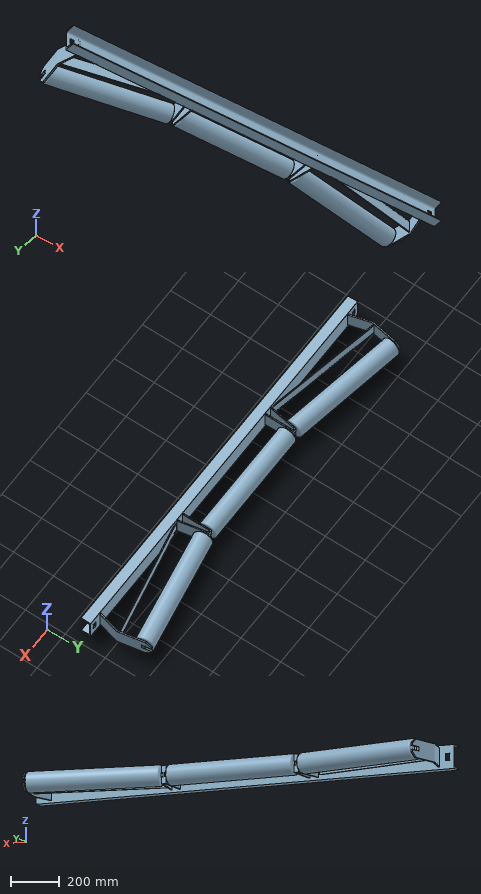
import cadquery as cq
import math

BEAM_LENGTH = 1900.0
BEAM_HEIGHT = 100.0
FLANGE_WIDTH = 50.0
WEB_THICKNESS = 5.0
FLANGE_ROOT_THICKNESS = 10.0
FLANGE_TIP_THICKNESS = 5.0
ROOT_RADIUS = 10.0
TIP_RADIUS = 4.0
MOUNT_HOLE_WIDTH = 17.0
MOUNT_HOLE_HEIGHT = 28.0
MOUNT_HOLE_INSET = 28.0

ROLLER_LENGTH = 570.0
ROLLER_DIAMETER = 90.0
ROLLER_RIM_RADIUS = 5.0
TROUGH_ANGLE = 10.0
CENTER_ROLLER_Y = 115.0
SIDE_ROLLER_X = 600.0
SIDE_ROLLER_Y = 171.0
SHAFT_SIZE = 17.0

PLATE_WIDTH = 78.0
PLATE_REACH = 11.0
INNER_THICKNESS = 5.0
INNER_TOP_Y = 140.0
OUTER_THICKNESS = 8.0
OUTER_TIP_RISE = 38.0
OUTER_CHAMFER_DROP = 27.0
OUTER_CHAMFER_WIDTH = 20.0
OUTER_FOOT_X = 885.0
BEND_Y = 105.0
BEND_RADIUS = 19.0

BRACE_WIDTH = 57.0
BRACE_THICKNESS = 4.8
BRACE_FOOT_X = 340.0
BRACE_TOP_Y = 108.0

AXIS_COS = math.cos(math.radians(TROUGH_ANGLE))
AXIS_SIN = math.sin(math.radians(TROUGH_ANGLE))
PLATE_FAR = ROLLER_LENGTH / 2 + PLATE_REACH
INNER_NEAR = PLATE_FAR - INNER_THICKNESS
OUTER_NEAR = PLATE_FAR - OUTER_THICKNESS


def side_point(along, across):
    """XY point of the +X side roller frame: along its axis (outward) and across it (toward +Y)."""
    return (
        SIDE_ROLLER_X + along * AXIS_COS - across * AXIS_SIN,
        SIDE_ROLLER_Y + along * AXIS_SIN + across * AXIS_COS,
    )


def across_at(along, y):
    """Across coordinate where the line at a given axial station reaches the height y."""
    return (y - SIDE_ROLLER_Y - along * AXIS_SIN) / AXIS_COS


def plate_point(along, y):
    """XY point at height y on a plate face lying square to the side roller axis."""
    return side_point(along, across_at(along, y))


def place_on_side_axis(shape):
    """Move a body modelled along X at the origin onto the +X side roller axis."""
    turned = shape.rotate((0, 0, 0), (0, 0, 1), TROUGH_ANGLE)
    return turned.translate((SIDE_ROLLER_X, SIDE_ROLLER_Y, 0))


def extrude_centered(points, width):
    """Prism of an XY outline, centred on Z = 0."""
    return cq.Workplane("XY").workplane(offset=-width / 2).polyline(points).close().extrude(width)


def make_beam():
    half = BEAM_HEIGHT / 2
    root = (-WEB_THICKNESS, half - FLANGE_ROOT_THICKNESS)
    tip = (-FLANGE_WIDTH, half - FLANGE_TIP_THICKNESS)
    outline = [
        (0, -half), (0, half), (-FLANGE_WIDTH, half), tip, root,
        (root[0], -root[1]), (tip[0], -tip[1]), (-FLANGE_WIDTH, -half),
    ]
    beam = (
        cq.Workplane("YZ").workplane(offset=-BEAM_LENGTH / 2)
        .polyline(outline).close().extrude(BEAM_LENGTH)
    )
    for radius, (y, z) in ((ROOT_RADIUS, root), (TIP_RADIUS, tip)):
        for level in (z, -z):
            beam = beam.edges(cq.selectors.NearestToPointSelector((0, y, level))).fillet(radius)
    hole_x = BEAM_LENGTH / 2 - MOUNT_HOLE_INSET
    holes = (
        cq.Workplane("XZ").pushPoints([(-hole_x, 0), (hole_x, 0)])
        .rect(MOUNT_HOLE_WIDTH, MOUNT_HOLE_HEIGHT)
        .extrude(WEB_THICKNESS)
    )
    return beam.cut(holes)


def make_roller():
    """Roller with square shaft ends, axis on X, shaft flush with the far plate faces."""
    start = cq.Workplane("YZ").workplane(offset=-ROLLER_LENGTH / 2)
    tube = start.circle(ROLLER_DIAMETER / 2).extrude(ROLLER_LENGTH)
    tube = tube.faces("<X or >X").edges().fillet(ROLLER_RIM_RADIUS)
    shaft = cq.Workplane("XY").box(2 * PLATE_FAR, SHAFT_SIZE, SHAFT_SIZE)
    return tube.union(shaft)


def shaft_slot(rise):
    """Cutter for the open slot in the plates of a roller: seats the shaft and opens toward +Y."""
    depth = SHAFT_SIZE / 2 + rise
    return (
        cq.Workplane("XY").box(2 * PLATE_FAR, depth, SHAFT_SIZE)
        .translate((0, rise - depth / 2, 0))
    )


def tip_chamfer_cutters():
    """Wedges sloping the two tip corners of the outer bracket, in the roller frame."""
    half = PLATE_WIDTH / 2
    shoulder = OUTER_TIP_RISE - OUTER_CHAMFER_DROP
    wedge = (
        cq.Workplane("YZ")
        .polyline([
            (OUTER_TIP_RISE, half),
            (shoulder, half),
            (OUTER_TIP_RISE, half - OUTER_CHAMFER_WIDTH),
        ])
        .close().extrude(PLATE_FAR)
    )
    return wedge.add(wedge.mirror("XY")).combine()


def make_outer_bracket():
    """Plate bent at mid-height, upper leg square to the roller axis."""
    outer_bend = plate_point(PLATE_FAR, BEND_Y)
    inner_bend = plate_point(OUTER_NEAR, BEND_Y)
    outline = [
        (OUTER_FOOT_X, 0),
        outer_bend,
        side_point(PLATE_FAR, OUTER_TIP_RISE),
        side_point(OUTER_NEAR, OUTER_TIP_RISE),
        inner_bend,
        (OUTER_FOOT_X - OUTER_THICKNESS, 0),
    ]
    plate = extrude_centered(outline, PLATE_WIDTH)
    for corner, radius in ((outer_bend, BEND_RADIUS), (inner_bend, BEND_RADIUS - OUTER_THICKNESS)):
        bend_edge = cq.selectors.NearestToPointSelector((*corner, 0))
        plate = plate.edges("|Z").edges(bend_edge).fillet(radius)
    plate = plate.cut(place_on_side_axis(tip_chamfer_cutters()))
    return plate.cut(place_on_side_axis(shaft_slot(OUTER_TIP_RISE)))


def make_inner_bracket():
    """Folded plate: one leg square to each roller, joined by a bridge on top."""
    under = INNER_TOP_Y - INNER_THICKNESS
    outline = [
        (INNER_NEAR, 0),
        (INNER_NEAR, INNER_TOP_Y),
        plate_point(-INNER_NEAR, INNER_TOP_Y),
        plate_point(-INNER_NEAR, 0),
        plate_point(-PLATE_FAR, 0),
        plate_point(-PLATE_FAR, under),
        (PLATE_FAR, under),
        (PLATE_FAR, 0),
    ]
    plate = extrude_centered(outline, PLATE_WIDTH)
    rise = INNER_TOP_Y - CENTER_ROLLER_Y
    plate = plate.cut(shaft_slot(rise).translate((0, CENTER_ROLLER_Y, 0)))
    return plate.cut(place_on_side_axis(shaft_slot(rise)))


def make_brace():
    """Flat strip from the bend of the outer bracket down to the back of the beam."""
    top_x, top_y = plate_point(OUTER_NEAR, BRACE_TOP_Y)
    slope = math.atan2(top_y, top_x - BRACE_FOOT_X)
    rise = BRACE_THICKNESS / math.cos(slope)
    run = BRACE_THICKNESS / math.sin(slope)
    upper_x, upper_y = plate_point(OUTER_NEAR, BRACE_TOP_Y + rise)
    outline = [(BRACE_FOOT_X, 0), (BRACE_FOOT_X + run, 0), (top_x, top_y), (upper_x, upper_y)]
    return extrude_centered(outline, BRACE_WIDTH)


def both_sides(body):
    """The +X body and its mirrored copy at -X, as separate solids."""
    return [body.val(), body.mirror("YZ").val()]


beam = make_beam()
center_roller = make_roller().translate((0, CENTER_ROLLER_Y, 0))
side_rollers = both_sides(place_on_side_axis(make_roller()))
outer_brackets = both_sides(make_outer_bracket())
inner_brackets = both_sides(make_inner_bracket())
braces = both_sides(make_brace())

result = cq.Compound.makeCompound([
    beam.val(),
    center_roller.val(),
    *side_rollers,
    *outer_brackets,
    *inner_brackets,
    *braces,
])